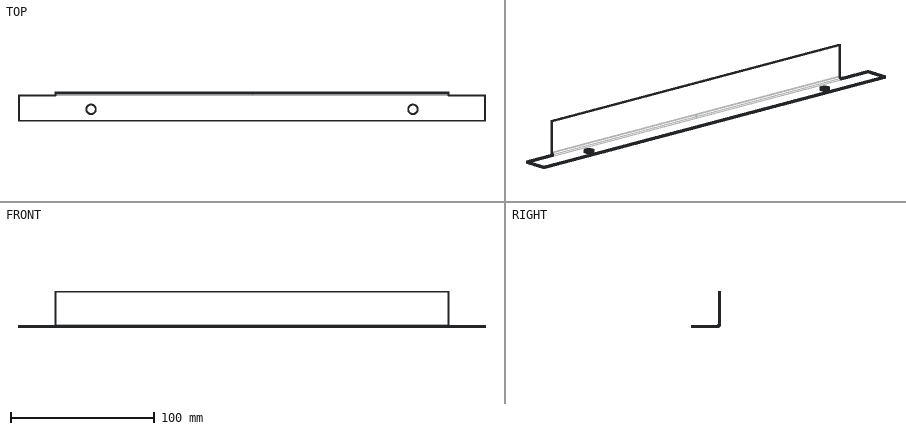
import cadquery as cq

flange_length = 326.0
total_depth = 20.0
total_height = 25.0
wall_end_inset = 25.5
sheet_thickness = 1.2
inner_bend_radius = 1.0

hole_diameter = 6.5
hole_spacing = 225.0
hole_front_offset = 8.0

outer_bend_radius = inner_bend_radius + sheet_thickness
wall_length = flange_length - 2 * wall_end_inset
flange_depth = total_depth - outer_bend_radius
wall_height = total_height - outer_bend_radius



def make_flange():
    """Flat flange, ending at the line where the bend begins."""
    return cq.Workplane("XY").box(
        flange_length, flange_depth, sheet_thickness, centered=(True, False, False)
    )


def make_bend():
    """Quarter ring joining the flange to the wall."""
    center_y = flange_depth
    center_z = outer_bend_radius
    bend_block = (
        cq.Workplane("YZ")
        .center(center_y, 0)
        .rect(outer_bend_radius, outer_bend_radius, centered=False)
        .extrude(wall_length / 2, both=True)
    )
    ring = (
        cq.Workplane("YZ")
        .center(center_y, center_z)
        .circle(outer_bend_radius)
        .circle(inner_bend_radius)
        .extrude(wall_length / 2, both=True)
    )
    return ring.intersect(bend_block)


def make_wall():
    """Upright wall, rising from the top of the bend."""
    return (
        cq.Workplane("XY")
        .box(wall_length, sheet_thickness, wall_height, centered=(True, False, False))
        .translate((0, total_depth - sheet_thickness, outer_bend_radius))
    )


def make_holes():
    """Two round cutters through the flange."""
    hole_x = hole_spacing / 2
    return (
        cq.Workplane("XY")
        .pushPoints([(-hole_x, hole_front_offset), (hole_x, hole_front_offset)])
        .circle(hole_diameter / 2)
        .extrude(sheet_thickness)
    )


result = make_flange().union(make_bend()).union(make_wall()).cut(make_holes())